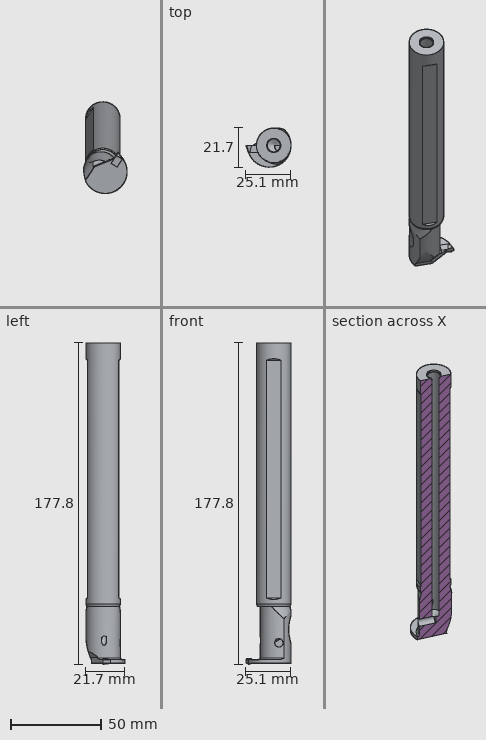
import cadquery as cq
import math

total_height = 177.8
shank_radius = 9.6
shank_bottom = 32.0
shank_chamfer_width = 0.5
shank_chamfer_height = 1.5
flat_distance = 8.7
flat_bottom = 36.8
flat_top = 168.2

bore_radius = 3.5
bore_mouth_radius = 4.0
bore_mouth_depth = 1.0
side_port_radius = 2.3
side_port_x = 2.8
side_port_height = 12.0
bore_bottom = side_port_height
bore_tip_depth = 2.1
jet_radius = 1.5
jet_outlet_y = -0.5
jet_outlet_height = 13.2
jet_steepness = 57.0
jet_lead = 2.7

disc_radius = 12.1
disc_x = shank_radius - disc_radius
disc_bottom = 0.5
disc_thickness = 2.1
disc_top = disc_bottom + disc_thickness

neck_radius = shank_radius
neck_x = 2.1
neck_left = neck_x - neck_radius
neck_foot = 0.9
neck_cone_top_radius = shank_radius - shank_chamfer_width
neck_cone_top = shank_bottom
neck_cone_angle = 12.5

hollow_depth = 1.2
hollow_bottom = 11.7
hollow_length = 15.1

chip_wall_angle = 34.0
chip_wall_offset = 6.4
chip_wall_top = 4.0
chip_runout_top = 8.5
back_relief_y = 6.5
back_relief_bulge = 0.9
back_relief_top = 16.5

tip_left = -15.5
insert_right = neck_left - neck_foot
insert_depth = 4.0
tip_top = 3.2
tip_top_right = -12.3
tip_bevel = 0.5
tip_flank_low = 0.9
tip_flank_high = 2.3
tip_low_point_x = -13.9
plate_left = -13.2
tip_relief = 1.5

big = 71.1


def cylinder(radius, bottom, top, x=0.0):
    return cq.Workplane("XY", origin=(x, 0, bottom)).circle(radius).extrude(top - bottom)


def make_shank():
    shank = cylinder(shank_radius, shank_bottom, total_height)
    return shank.faces("<Z").chamfer(shank_chamfer_height, shank_chamfer_width)


def clamping_flat():
    """Cutter for the flat on the -Y side, with 45 degree ends."""
    depth = shank_radius - flat_distance
    profile = [
        (-flat_distance, flat_bottom),
        (-shank_radius, flat_bottom - depth),
        (-shank_radius, flat_top + depth),
        (-flat_distance, flat_top),
    ]
    return cq.Workplane("YZ").polyline(profile).close().extrude(shank_radius, both=True)


def make_head():
    """Disc and neck in one: the disc's cylinder turned down to the neck, then coned to meet the shank."""
    outside = 2 * disc_radius
    stepped = cq.Workplane("XZ").polyline([
        (neck_x, disc_bottom),
        (neck_x + outside, disc_bottom),
        (neck_x + outside, disc_top),
        (neck_x + neck_radius + neck_foot, disc_top),
        (neck_x + neck_radius, disc_top + neck_foot),
        (neck_x + neck_radius, neck_cone_top),
        (neck_x, neck_cone_top),
    ]).close().revolve(360, (neck_x, 0), (neck_x, 1))
    cone_height = neck_cone_top - disc_bottom
    cone_bottom_radius = neck_cone_top_radius + cone_height * math.tan(math.radians(neck_cone_angle))
    cone = cq.Workplane("XZ").polyline([
        (0, disc_bottom),
        (cone_bottom_radius, disc_bottom),
        (neck_cone_top_radius, neck_cone_top),
        (0, neck_cone_top),
    ]).close().revolve(360, (0, 0), (0, 1))
    blank = cylinder(disc_radius, disc_bottom, neck_cone_top, disc_x)
    return blank.intersect(stepped).intersect(cone)


def chip_space():
    """Cutter for the slanting chip wall that starts at the rake face."""
    runout = neck_radius - chip_wall_offset
    profile = [
        (chip_wall_offset, 0),
        (chip_wall_offset, chip_wall_top),
        (chip_wall_offset + runout, chip_runout_top),
        (big, chip_runout_top),
        (big, 0),
    ]
    cutter = cq.Workplane("YZ").polyline(profile).close().extrude(big, both=True)
    return cutter.rotate((0, 0, 0), (0, 0, 1), chip_wall_angle)


def back_relief():
    """Cutter that rounds the +Y side of the neck and disc inwards towards the bottom."""
    middle = (
        (back_relief_y + neck_radius) / 2 + back_relief_bulge,
        (disc_top + back_relief_top) / 2,
    )
    return (
        cq.Workplane("YZ")
        .moveTo(back_relief_y, 0)
        .lineTo(back_relief_y, disc_top)
        .threePointArc(middle, (neck_radius, back_relief_top))
        .lineTo(big, back_relief_top)
        .lineTo(big, 0)
        .close()
        .extrude(big, both=True)
    )


def side_hollow():
    right = disc_x + disc_radius
    middle = hollow_bottom + hollow_length / 2
    return (
        cq.Workplane("XZ")
        .moveTo(right, hollow_bottom)
        .threePointArc((right - hollow_depth, middle), (right, hollow_bottom + hollow_length))
        .close()
        .extrude(big, both=True)
    )


def coolant_passages():
    bore = cq.Workplane("XZ").polyline([
        (0, bore_bottom),
        (bore_radius, bore_bottom + bore_tip_depth),
        (bore_radius, total_height),
        (0, total_height),
    ]).close().revolve(360, (0, 0), (0, 1))
    mouth = cylinder(bore_mouth_radius, total_height - bore_mouth_depth, total_height)
    side_port = (
        cq.Workplane("XZ", origin=(side_port_x, 0, side_port_height))
        .circle(side_port_radius)
        .extrude(big)
    )
    slope = math.radians(jet_steepness)
    inward = cq.Vector(math.cos(slope), 0, math.sin(slope))
    outlet = cq.Vector(neck_left, jet_outlet_y, jet_outlet_height)
    jet = cq.Solid.makeCylinder(
        jet_radius,
        jet_lead - neck_left / math.cos(slope),
        outlet - inward * jet_lead,
        inward,
    )
    return bore.union(mouth).union(side_port).union(cq.Workplane(jet))


def insert_seat():
    """Open pocket in the disc that the insert fills."""
    return (
        cq.Workplane("XY")
        .moveTo(insert_right, 0)
        .lineTo(insert_right, -insert_depth)
        .lineTo(-big, -insert_depth)
        .lineTo(-big, 0)
        .close()
        .extrude(disc_top)
    )


def make_holder():
    holder = make_shank().union(make_head())
    flat = clamping_flat()
    cutters = [
        flat,
        flat.mirror("XZ"),
        chip_space(),
        back_relief(),
        side_hollow(),
        coolant_passages(),
        insert_seat(),
    ]
    for cutter in cutters:
        holder = holder.cut(cutter)
    return holder


def make_insert():
    """Cutting insert: a plate as thick as the disc, with a larger tip that narrows back to the plate."""
    plate = (
        cq.Workplane("XZ")
        .moveTo(plate_left, disc_bottom)
        .lineTo(insert_right, disc_bottom)
        .lineTo(insert_right, disc_top)
        .lineTo(plate_left, disc_top)
        .close()
        .extrude(insert_depth)
    )
    rake_face = [
        (tip_top_right, tip_top),
        (tip_left + tip_bevel, tip_top),
        (tip_left, tip_flank_high),
        (tip_left, tip_flank_low),
        (tip_low_point_x, 0),
        (tip_top_right, disc_bottom),
    ]
    back_left = tip_left + tip_relief
    back_face = [
        (plate_left, disc_top),
        (back_left + tip_bevel / 2, disc_top),
        (back_left, tip_flank_high),
        (back_left, tip_flank_low),
        (back_left + tip_bevel / 2, disc_bottom),
        (plate_left, disc_bottom),
    ]
    tip = (
        cq.Workplane("XZ")
        .polyline(rake_face)
        .close()
        .workplane(offset=insert_depth)
        .polyline(back_face)
        .close()
        .loft(ruled=True)
    )
    return plate.union(tip)


holder = make_holder()
insert = make_insert()
result = cq.Compound.makeCompound([holder.val(), insert.val()])